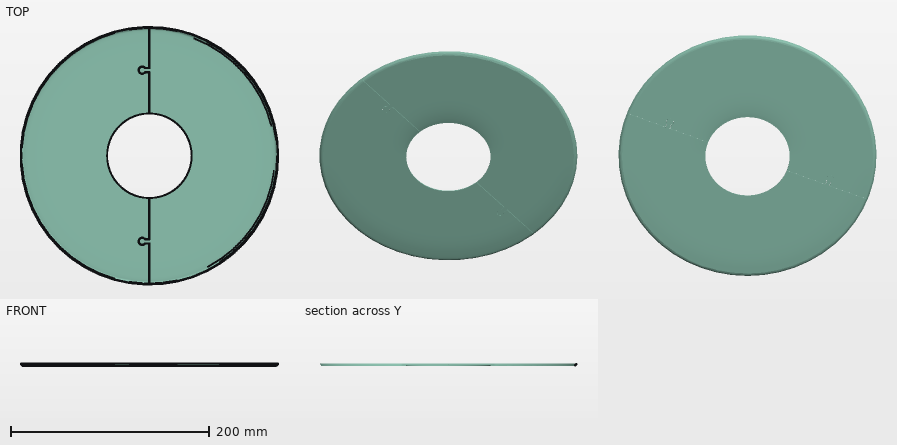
import cadquery as cq
import math

OUTER_DIAMETER = 260.0
HEIGHT = 3.0
HOLE_DIAMETER = 85.0
SHEET = 1.0
RIM_ANGLE = math.radians(45.0)
INNER_BEND_RADIUS = 2.0

GAP = 0.4
GAP_END_RADIUS = 128.5
HEAD_GAP = 0.15
TAB_PITCH_RADIUS = 86.2
TAB_REACH = 7.2
TAB_HEAD_RADIUS = 3.5
TAB_NECK_WIDTH = 4.0

outer_radius = OUTER_DIAMETER / 2
hole_radius = HOLE_DIAMETER / 2
outer_bend_radius = INNER_BEND_RADIUS + SHEET


def make_dish():
    """Revolve a flat sheet whose edge is bent up into a conical rim."""
    sin_rim = math.sin(RIM_ANGLE)
    cos_rim = math.cos(RIM_ANGLE)

    lip_outer = (outer_radius, HEIGHT - SHEET * cos_rim)
    lip_crest = (outer_radius - SHEET * sin_rim, HEIGHT)

    cone_height = lip_outer[1] - outer_bend_radius * (1 - cos_rim)
    bend_center_r = outer_radius - cone_height / math.tan(RIM_ANGLE) - outer_bend_radius * sin_rim

    def on_bend(radius, angle):
        """Point on a bend arc, at an angle measured from straight down."""
        return (
            bend_center_r + radius * math.sin(angle),
            outer_bend_radius - radius * math.cos(angle),
        )

    profile = (
        cq.Workplane("XZ")
        .moveTo(hole_radius, 0)
        .lineTo(bend_center_r, 0)
        .threePointArc(on_bend(outer_bend_radius, RIM_ANGLE / 2), on_bend(outer_bend_radius, RIM_ANGLE))
        .lineTo(*lip_outer)
        .lineTo(*lip_crest)
        .lineTo(*on_bend(INNER_BEND_RADIUS, RIM_ANGLE))
        .threePointArc(on_bend(INNER_BEND_RADIUS, RIM_ANGLE / 2), on_bend(INNER_BEND_RADIUS, 0))
        .lineTo(hole_radius, SHEET)
        .close()
    )
    return profile.revolve(360, (0, 0, 0), (0, 1, 0))


def make_keyhole(root_x, neck_width, head_radius):
    """Keyhole prism reaching toward -X from root_x, at the tab of the +Y joint."""
    neck_length = root_x + TAB_REACH
    neck = (
        cq.Workplane("XY")
        .center(root_x - neck_length / 2, TAB_PITCH_RADIUS)
        .rect(neck_length, neck_width)
        .extrude(HEIGHT)
    )
    head = (
        cq.Workplane("XY")
        .center(-TAB_REACH, TAB_PITCH_RADIUS)
        .circle(head_radius)
        .extrude(HEIGHT)
    )
    return neck.union(head)


def make_joint_gap():
    """Cutter for the narrow gap that runs along the +Y joint and round its tab."""
    slit = (
        cq.Workplane("XY")
        .center(0, GAP_END_RADIUS / 2)
        .rect(GAP, GAP_END_RADIUS)
        .extrude(HEIGHT)
    )
    socket = make_keyhole(GAP / 2, TAB_NECK_WIDTH + 2 * GAP, TAB_HEAD_RADIUS + HEAD_GAP)

    tab = make_keyhole(GAP / 2, TAB_NECK_WIDTH, TAB_HEAD_RADIUS)
    return slit.union(socket).cut(tab)


joint_gap = make_joint_gap()
result = make_dish().cut(joint_gap).cut(joint_gap.mirror("XZ"))